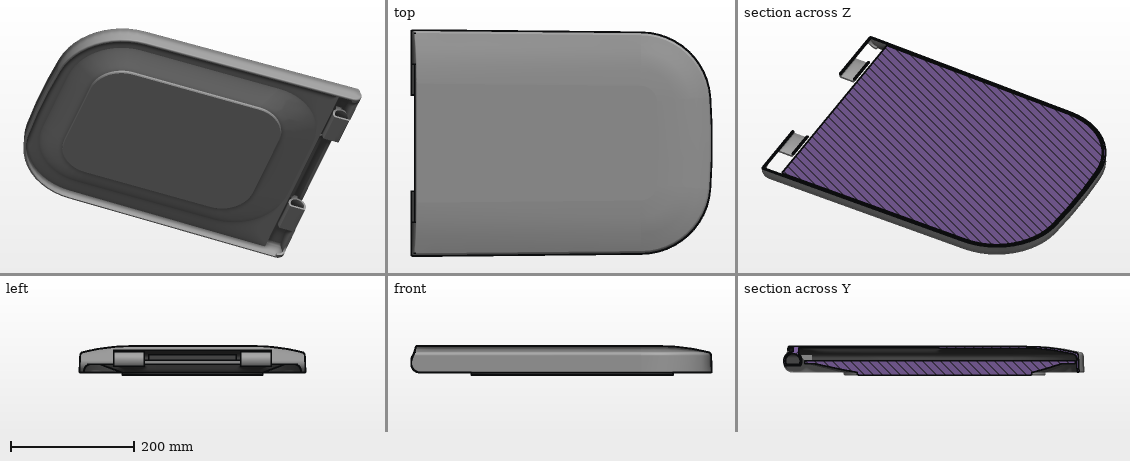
import cadquery as cq
import math


length = 488.49
rear_half_width = 183.44
side_taper = math.radians(0.56)
corner_radius = 114.0
nose_radius = 1000.0
nose_x = length / 2
rear_x = -length / 2

pad_drop = 4.5
overall_height = 48.0
lid_height = overall_height - pad_drop
wall = 3.5
draft_height = 27.5
draft_inset = 1.2
edge_round_width = 3.8
crown_radius = 330.0
crown_width = 82.0
crown_drop = crown_radius - math.sqrt(crown_radius**2 - crown_width**2)
flat_inset = draft_inset + edge_round_width + crown_width
band_overlap = 4.0

rear_round = 15.0
rear_top_x = -236.0
rear_edge_round = 2.5
full_width_offset = 25.0
taper_start_x = rear_x + full_width_offset
rear_overrun = 20.0
path_start_x = rear_x - rear_overrun

sleeve_inner_y = 78.0
sleeve_outer_y = 128.0
lip_bottom_z = 36.0
opening_depth = 28.0
arch_outer_y = 176.0
arch_height = 14.0
arch_round = 12.0
sleeve_radius = 15.0
sleeve_axis_x = rear_x + sleeve_radius
sleeve_axis_z = 19.0
sleeve_bottom_z = 10.5
sleeve_web_depth = 10.0

flange_clearance = 1.5
flange_inset = wall + draft_inset + flange_clearance
flange_bottom_z = 14.0
flange_top_z = 20.0
flange_rear_x = -210.0
ridge_half_width = 71.0
ridge_top_z = 29.0
ridge_depth = 12.0
ridge_overhang = 10.0
plinth_rear_x = -147.0
plinth_front_x = 181.0
plinth_half_width = 114.0
plinth_corner = 55.0
plinth_edge = 1.5
slope_rear_run = 58.0
slope_run = 37.0


def outline(inset):
    """Closed plan of the lid, moved inward by inset: tapered sides, round corners, bowed nose."""
    sine = math.sin(side_taper)
    cosine = math.cos(side_taper)
    nose_center_x = nose_x - nose_radius

    def side_y(x):
        return rear_half_width - (x - taper_start_x) * math.tan(side_taper)

    line_y = side_y(nose_center_x) - corner_radius / cosine
    reach = nose_radius - corner_radius
    along = line_y * sine + math.sqrt(reach**2 - (line_y * cosine) ** 2)
    center_x = nose_center_x + along * cosine
    center_y = line_y - along * sine

    radius = corner_radius - inset
    nose_angle = math.atan2(center_y, center_x - nose_center_x)
    side_angle = math.pi / 2 - side_taper
    middle_angle = (nose_angle + side_angle) / 2

    def on_corner(angle, side):
        return (center_x + radius * math.cos(angle), side * (center_y + radius * math.sin(angle)))

    start_y = side_y(path_start_x) - inset / cosine
    return (
        cq.Workplane("XY")
        .moveTo(path_start_x, -start_y)
        .lineTo(*on_corner(side_angle, -1))
        .threePointArc(on_corner(middle_angle, -1), on_corner(nose_angle, -1))
        .threePointArc((nose_x - inset, 0), on_corner(nose_angle, 1))
        .threePointArc(on_corner(middle_angle, 1), on_corner(side_angle, 1))
        .lineTo(path_start_x, start_y)
    )


def crowned_block(inset):
    """Solid with the crowned top and drafted sides of the lid, moved inward and down by inset."""
    path = outline(0).wire()
    start = path.val().startPoint()
    section_plane = cq.Plane(
        origin=(start.x, start.y, -inset),
        xDir=(-math.sin(side_taper), math.cos(side_taper), 0),
        normal=(math.cos(side_taper), math.sin(side_taper), 0),
    )
    crown_start = inset + draft_inset + edge_round_width
    crown_end = inset + flat_inset
    half_chord = crown_width / 2
    middle_drop = crown_radius - math.sqrt(crown_radius**2 - half_chord**2)
    band = (
        cq.Workplane(section_plane)
        .moveTo(inset, 0)
        .lineTo(inset + draft_inset, draft_height)
        .tangentArcPoint((crown_start, lid_height - crown_drop), relative=False)
        .threePointArc((crown_end - half_chord, lid_height - middle_drop), (crown_end, lid_height))
        .lineTo(crown_end + band_overlap, lid_height)
        .lineTo(crown_end + band_overlap, 0)
        .close()
        .sweep(path, transition="round")
    )
    core = outline(crown_end).close().extrude(lid_height).translate((0, 0, -inset))
    return band.union(core)


def rear_limit(inset):
    """Block in front of the rear face: a leaning wall that runs into a round lower edge."""
    radius = rear_round - inset
    center_x = rear_x + rear_round
    center_z = rear_round
    top_x = rear_top_x + inset
    top_z = lid_height
    distance = math.hypot(top_x - center_x, top_z - center_z)
    tangent_angle = math.atan2(top_z - center_z, top_x - center_x) + math.acos(radius / distance)
    middle_angle = (tangent_angle + 1.5 * math.pi) / 2

    def on_round(angle):
        return (center_x + radius * math.cos(angle), center_z + radius * math.sin(angle))

    bottom_z = -inset
    profile = (
        cq.Workplane("XZ")
        .moveTo(top_x, top_z)
        .lineTo(*on_round(tangent_angle))
        .threePointArc(on_round(middle_angle), (center_x, center_z - radius))
    )
    if inset > 0:
        profile = profile.lineTo(center_x, bottom_z)
    return (
        profile.lineTo(nose_x, bottom_z)
        .lineTo(nose_x, top_z)
        .close()
        .extrude(rear_half_width + rear_round, both=True)
    )


def box_between(x_range, y_range, z_range):
    """Box given by its lower and upper limits on each axis."""
    size = [high - low for low, high in (x_range, y_range, z_range)]
    corner = (x_range[0], y_range[0], z_range[0])
    return cq.Workplane("XY").box(*size, centered=False).translate(corner)


def hinge_sleeve(side):
    """Round sleeve with a flat bottom, hung from the top of the lid by a web."""
    width = sleeve_outer_y - sleeve_inner_y
    y_range = sorted((side * sleeve_inner_y, side * sleeve_outer_y))
    axis_plane = cq.Workplane("XZ", origin=(sleeve_axis_x, y_range[1], sleeve_axis_z))
    web = box_between(
        (sleeve_axis_x, sleeve_axis_x + sleeve_web_depth),
        y_range,
        (sleeve_axis_z, lid_height - wall / 2),
    )

    def flat_bottomed_bar(radius, bottom_z):
        below = box_between(
            (sleeve_axis_x - radius, sleeve_axis_x + radius),
            y_range,
            (sleeve_axis_z - radius, bottom_z),
        )
        return axis_plane.circle(radius).extrude(width).cut(below)

    bore = flat_bottomed_bar(sleeve_radius - wall, sleeve_bottom_z + wall)
    return flat_bottomed_bar(sleeve_radius, sleeve_bottom_z).union(web).cut(bore)


def build_lid():
    outer = crowned_block(0).intersect(rear_limit(0))
    outer = outer.edges(cq.selectors.BoxSelector(
        (rear_x, -rear_half_width, rear_round),
        (rear_top_x + rear_edge_round, rear_half_width, lid_height + rear_edge_round),
    )).fillet(rear_edge_round)
    cavity = crowned_block(wall).intersect(rear_limit(wall))
    lid = outer.cut(cavity)

    opening_x = (rear_x, rear_x + opening_depth)
    lid = lid.cut(box_between(opening_x, (-sleeve_outer_y, sleeve_outer_y), (-wall, lip_bottom_z)))

    for side in (-1, 1):
        arch_y = sorted((side * sleeve_outer_y, side * arch_outer_y))
        arch = box_between(opening_x, arch_y, (-arch_height, arch_height))
        arch = arch.faces(">Z").edges(">Y" if side > 0 else "<Y").fillet(arch_round)
        lid = lid.cut(arch).union(hinge_sleeve(side))
    return lid


def rounded_plan(z, growth, rear_growth):
    """Rounded rectangle at height z, grown from the outline of the plinth."""
    rear = plinth_rear_x - rear_growth
    front = plinth_front_x + growth
    half_width = plinth_half_width + growth
    sketch = cq.Sketch().rect(front - rear, 2 * half_width).vertices().fillet(plinth_corner + growth)
    return sketch.moved(cq.Location(cq.Vector((front + rear) / 2, 0, z)))


def build_pad():
    plinth = (
        cq.Workplane("XY")
        .placeSketch(rounded_plan(-pad_drop, 0, 0))
        .extrude(pad_drop)
        .faces("<Z")
        .edges()
        .chamfer(plinth_edge)
    )
    slope = (
        cq.Workplane("XY")
        .placeSketch(rounded_plan(0, 0, 0), rounded_plan(flange_bottom_z, slope_run, slope_rear_run))
        .loft()
    )
    flange_space = box_between(
        (flange_rear_x, nose_x),
        (-rear_half_width, rear_half_width),
        (flange_bottom_z, flange_top_z),
    )
    flange = outline(flange_inset).close().extrude(lid_height).intersect(flange_space)
    ridge = (
        cq.Workplane("XZ")
        .moveTo(flange_rear_x, flange_top_z)
        .lineTo(flange_rear_x - ridge_overhang, ridge_top_z)
        .lineTo(flange_rear_x + ridge_depth, ridge_top_z)
        .lineTo(flange_rear_x + ridge_depth, flange_top_z)
        .close()
        .extrude(ridge_half_width, both=True)
    )
    return plinth.union(slope).union(flange).union(ridge)


lid = build_lid()
pad = build_pad()

result = cq.Compound.makeCompound([lid.solids().val(), pad.solids().val()])